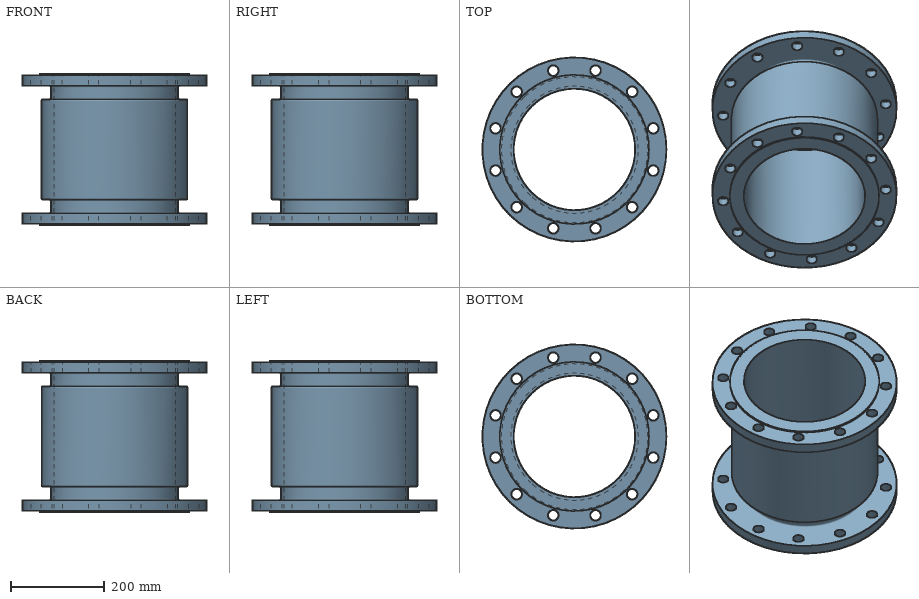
import cadquery as cq

total_height = 325.0
bore_diameter = 260.0

flange_diameter = 395.0
flange_thickness = 26.0
raised_face_diameter = 320.0
raised_face_height = 3.0

bolt_circle_diameter = 350.0
bolt_hole_diameter = 22.0
bolt_hole_count = 12

neck_diameter = 273.0
body_diameter = 313.2
body_height = 215.0
fillet_radius = 3.0


def upper_outline():
    """Outer (radius, height) points from the body's upper edge to the top of the raised face."""
    neck_radius = neck_diameter / 2
    flange_radius = flange_diameter / 2
    raised_face_radius = raised_face_diameter / 2
    top = total_height / 2
    flange_top = top - raised_face_height
    flange_bottom = top - flange_thickness
    body_top = body_height / 2
    return [
        (body_diameter / 2, body_top),
        (neck_radius, body_top),
        (neck_radius, flange_bottom),
        (flange_radius, flange_bottom),
        (flange_radius, flange_top),
        (raised_face_radius, flange_top),
        (raised_face_radius, top),
        (bore_diameter / 2, top),
    ]


def spool():
    """Pipe with both flanges, symmetric about the XY plane, with filleted neck ends and body edges."""
    upper = upper_outline()
    lower = [(radius, -height) for radius, height in reversed(upper)]
    profile = cq.Workplane("XZ").polyline(lower + upper).close()
    pipe = profile.revolve(360, (0, 0, 0), (0, 1, 0))
    neck_ends = cq.selectors.RadiusNthSelector(1)
    body_edges = cq.selectors.RadiusNthSelector(2)
    return pipe.edges(neck_ends + body_edges).fillet(fillet_radius)


def bolt_holes():
    """Cutters for the bolt holes, long enough to pass through both flanges."""
    pitch_angle = 360 / bolt_hole_count
    return (
        cq.Workplane("XY")
        .polarArray(bolt_circle_diameter / 2, pitch_angle / 2, 360, bolt_hole_count)
        .circle(bolt_hole_diameter / 2)
        .extrude(total_height / 2, both=True)
    )


result = spool().cut(bolt_holes())